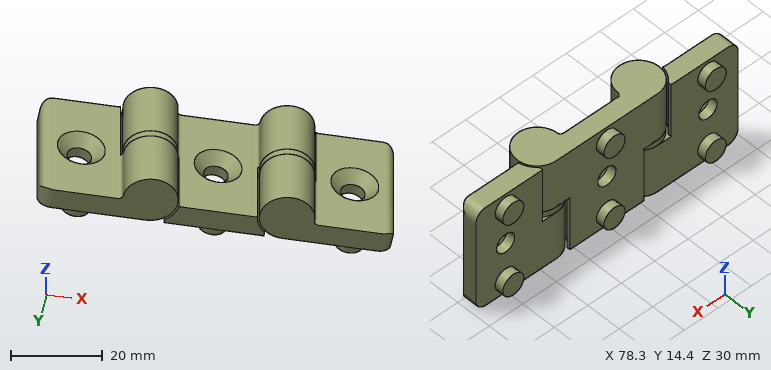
import cadquery as cq
import math

length = 78.3
height = 30.0
plate_thickness = 5.2
barrel_radius = 6.0
hole_spacing = 30.2
pin_offset = hole_spacing / 2
pin_y = -barrel_radius
fillet_radius = 1.0

end_corner_radius = 3.05
end_edge_radius = 2.0

clearance_radius = 6.5
clearance_wall = 4.1
washer_thickness = 1.65
washer_radius = 5.99

hole_diameter = 5.4
sink_diameter = 10.6
sink_angle = 90.0

boss_radius = 3.1
boss_height = 2.4
boss_z = 11.0

half_length = length / 2
half_height = height / 2
half_washer = washer_thickness / 2


def block(x_min, x_max, y_min, y_max, z_min, z_max):
    size = (x_max - x_min, y_max - y_min, z_max - z_min)
    return cq.Workplane("XY").box(*size, centered=False).translate((x_min, y_min, z_min))


def cylinder(x, radius, z_min, z_max):
    """Cylinder around the pin axis at x."""
    return cq.Workplane("XY", origin=(x, pin_y, z_min)).circle(radius).extrude(z_max - z_min)


def root_fillet(x, side):
    """Concave fillet between the barrel at x and the plate on the given side."""
    arc_y = -plate_thickness - fillet_radius
    center_distance = barrel_radius + fillet_radius
    reach = math.sqrt(center_distance**2 - (arc_y - pin_y) ** 2)
    arc_x = x + side * reach
    contact = barrel_radius / center_distance
    contact_x = x + side * reach * contact
    contact_y = pin_y + (arc_y - pin_y) * contact
    filler = (
        cq.Workplane("XY", origin=(0, 0, -half_height))
        .moveTo(x, -plate_thickness)
        .lineTo(x, contact_y)
        .lineTo(contact_x, contact_y)
        .lineTo(arc_x, contact_y)
        .lineTo(arc_x, -plate_thickness)
        .close()
        .extrude(height)
    )
    relief = (
        cq.Workplane("XY", origin=(arc_x, arc_y, -half_height)).circle(fillet_radius).extrude(height)
    )
    return filler.cut(relief)


def clearance(x, side, z_min, z_max):
    """Space around the neighbouring leaf's barrel; its plate lies away from side."""
    wall_x = x + side * clearance_wall
    far_x = x - side * clearance_radius
    room = block(min(wall_x, far_x), max(wall_x, far_x), pin_y, 0, z_min, z_max)
    return cylinder(x, clearance_radius, z_min, z_max).union(room)


def center_leaf():
    leaf = block(-pin_offset, pin_offset, -plate_thickness, 0, -half_height, half_height)
    for side in (-1, 1):
        x = side * pin_offset
        leaf = leaf.union(root_fillet(x, -side))
        leaf = leaf.cut(clearance(x, -side, -half_height, half_washer))
        leaf = leaf.union(cylinder(x, barrel_radius, half_washer, half_height))
    return leaf


def outer_leaf(side):
    x = side * pin_offset
    end_x = side * half_length
    plate = block(min(x, end_x), max(x, end_x), -plate_thickness, 0, -half_height, half_height)
    end_face = ">X" if side > 0 else "<X"
    rounded_corners = plate.faces(end_face).edges("|Y").fillet(end_corner_radius)
    rounded_edge = plate.faces(end_face).edges("<Y").fillet(end_edge_radius)
    leaf = rounded_corners.intersect(rounded_edge).union(root_fillet(x, side))
    leaf = leaf.cut(clearance(x, side, -half_washer, half_height))
    return leaf.union(cylinder(x, barrel_radius, -half_height, -half_washer))


result = center_leaf()
for side in (-1, 1):
    washer = cylinder(side * pin_offset, washer_radius, -half_washer, half_washer)
    result = result.union(outer_leaf(side)).union(washer)

hole_positions = [(-hole_spacing, 0), (0, 0), (hole_spacing, 0)]
result = (
    result.copyWorkplane(cq.Workplane("XZ", origin=(0, -plate_thickness, 0)))
    .pushPoints(hole_positions)
    .cskHole(hole_diameter, sink_diameter, sink_angle)
)

boss_positions = [(x, z) for x, _ in hole_positions for z in (-boss_z, boss_z)]
bosses = cq.Workplane("XZ").pushPoints(boss_positions).circle(boss_radius).extrude(-boss_height)
result = result.union(bosses)